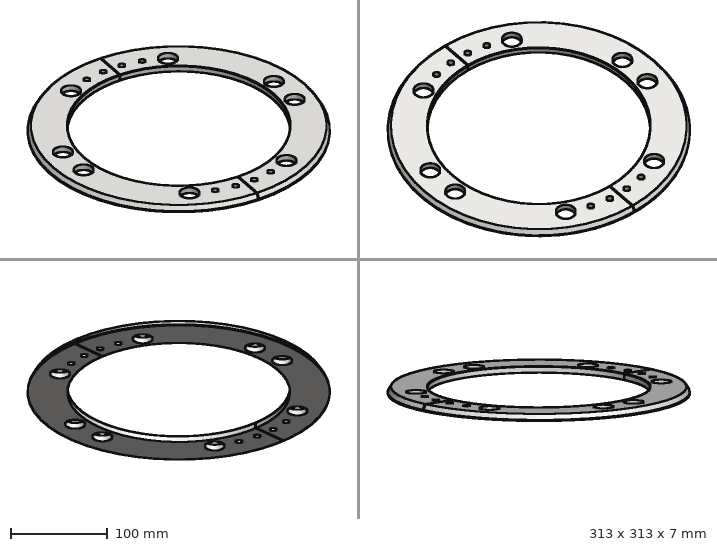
import cadquery as cq
import math

outer_radius = 156.5
top_radius = 153.0
inner_radius = 115.0
thickness = 7.0
rim_height = 1.3
inner_chamfer = 0.5

pitch_radius = 130.0
large_hole_diameter = 20.5
large_hole_angles = (27, 81)
small_hole_diameter = 7.0
small_hole_angles = (5, 15)

split_width = 1.0
split_floor = 0.5


def ring():
    """Flat ring with a short vertical rim below a sloping outer edge and a chamfered bore."""
    profile = [
        (inner_radius, 0),
        (outer_radius, 0),
        (outer_radius, rim_height),
        (top_radius, thickness),
        (inner_radius + inner_chamfer, thickness),
        (inner_radius, thickness - inner_chamfer),
    ]
    return cq.Workplane("XZ").polyline(profile).close().revolve(360, (0, 0), (0, 1))


def holes(diameter, quadrant_angles):
    """Through-hole cutters, mirrored into all four quadrants."""
    centers = []
    for angle in quadrant_angles:
        x = pitch_radius * math.cos(math.radians(angle))
        y = pitch_radius * math.sin(math.radians(angle))
        centers += [(x, y), (-x, y), (-x, -y), (x, -y)]
    return cq.Workplane("XY").pushPoints(centers).circle(diameter / 2).extrude(thickness)


def split_groove():
    """Cutter along X that leaves a thin web joining the two halves."""
    groove = cq.Workplane("XY").workplane(offset=split_floor)
    return groove.rect(2 * outer_radius, split_width).extrude(thickness - split_floor)


result = (
    ring()
    .cut(holes(large_hole_diameter, large_hole_angles))
    .cut(holes(small_hole_diameter, small_hole_angles))
    .cut(split_groove())
)